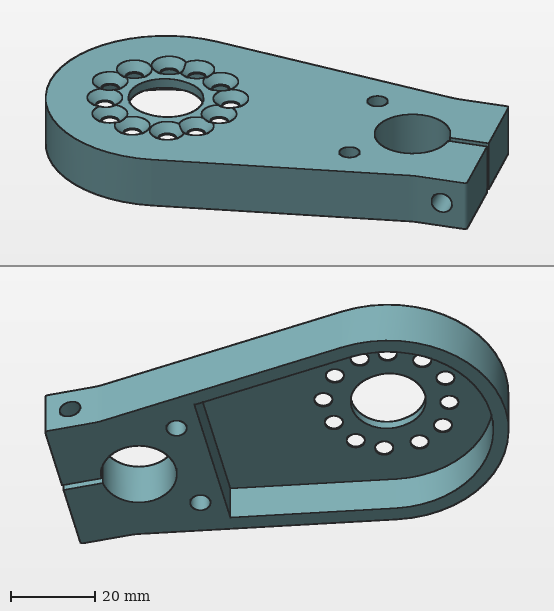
import cadquery as cq
import math

ARM_ANGLE = 13.5
THICKNESS = 12.8

HEAD_RADIUS = 28.6
CLAMP_WIDTH = 36.8
CLAMP_START = 66.3
ARM_END = 79.4
NECK_FILLET = 12.1
CORNER_FILLET = 0.7

FLOOR = 2.4
WALL = 3.6
POCKET_END = 42.9

CLAMP_BORE_X = 60.8
CLAMP_BORE_DIAMETER = 18.0
SLIT_WIDTH = 1.5
SCREW_X = 73.2
SCREW_DIAMETER = 5.1
PIN_X = 48.7
PIN_SPACING = 24.4
PIN_DIAMETER = 4.8

BORE_LENGTH = 17.9
BORE_WIDTH = 17.2
RING_HOLE_DIAMETER = 4.3
COUNTERSINK_DIAMETER = 8.4
COUNTERSINK_ANGLE = 90
RING_HOLES = [
    (14.6, -1.3),
    (15.4, 28.2),
    (15.0, 59.1),
    (15.0, 90.0),
    (15.0, 116.4),
    (15.2, 149.0),
    (15.4, 178.8),
    (14.5, 208.8),
    (15.2, 238.0),
    (15.1, 267.3),
    (15.1, 300.5),
    (14.8, 328.1),
]


def tangent_angle(radius, end_x, end_half_width):
    """Direction, from the arc centre, of the point where the upper tangent side begins."""
    reach = math.hypot(end_x, end_half_width)
    return math.atan2(end_half_width, end_x) + math.acos(radius / reach)


def teardrop(radius, end_x, end_half_width):
    """Closed outline: arc about the origin with tangent sides running to a straight end."""
    tangent = tangent_angle(radius, end_x, end_half_width)
    tangent_x = radius * math.cos(tangent)
    tangent_y = radius * math.sin(tangent)
    return (
        cq.Workplane("XY")
        .moveTo(end_x, -end_half_width)
        .lineTo(end_x, end_half_width)
        .lineTo(tangent_x, tangent_y)
        .threePointArc((-radius, 0), (tangent_x, -tangent_y))
        .close()
    )


def make_blank():
    """Arm with its clamp block, blended necks and slightly rounded outer corners."""
    arm = teardrop(HEAD_RADIUS, CLAMP_START, CLAMP_WIDTH / 2).extrude(THICKNESS)
    block = cq.Workplane("XY").box(
        ARM_END - CLAMP_START, CLAMP_WIDTH, THICKNESS, centered=(False, True, False)
    )
    blank = arm.union(block.translate((CLAMP_START, 0, 0)))
    for corner_x, radius in ((CLAMP_START, NECK_FILLET), (ARM_END, CORNER_FILLET)):
        for side in (-1, 1):
            corner = (corner_x, side * CLAMP_WIDTH / 2, THICKNESS / 2)
            blank = blank.edges("|Z").edges(cq.NearestToPointSelector(corner)).fillet(radius)
    return blank


def make_pocket():
    """Underside recess whose sides stay one wall thickness inside the tapered arm."""
    tangent = tangent_angle(HEAD_RADIUS, CLAMP_START, CLAMP_WIDTH / 2)
    radius = HEAD_RADIUS - WALL
    end_half_width = (radius - POCKET_END * math.cos(tangent)) / math.sin(tangent)
    return teardrop(radius, POCKET_END, end_half_width).extrude(THICKNESS - FLOOR)


def cut_clamp(body):
    """Shaft bore, slit, cross screw hole and the pair of pin holes."""
    bore = (
        cq.Workplane("XY")
        .center(CLAMP_BORE_X, 0)
        .circle(CLAMP_BORE_DIAMETER / 2)
        .extrude(THICKNESS)
    )
    slit = cq.Workplane("XY").box(
        ARM_END - CLAMP_BORE_X, SLIT_WIDTH, THICKNESS, centered=(False, True, False)
    )
    screw = (
        cq.Workplane("XZ")
        .center(SCREW_X, THICKNESS / 2)
        .circle(SCREW_DIAMETER / 2)
        .extrude(CLAMP_WIDTH, both=True)
    )
    pins = (
        cq.Workplane("XY")
        .pushPoints([(PIN_X, -PIN_SPACING / 2), (PIN_X, PIN_SPACING / 2)])
        .circle(PIN_DIAMETER / 2)
        .extrude(THICKNESS)
    )
    return body.cut(bore).cut(slit.translate((CLAMP_BORE_X, 0, 0))).cut(screw).cut(pins)


def drill_head(body):
    """Slightly elongated central opening and the surrounding countersunk holes."""
    opening = cq.Workplane("XY").slot2D(BORE_LENGTH, BORE_WIDTH).extrude(THICKNESS)
    centres = [
        (r * math.cos(math.radians(a)), r * math.sin(math.radians(a))) for r, a in RING_HOLES
    ]
    return (
        body.cut(opening)
        .copyWorkplane(cq.Workplane("XY", origin=(0, 0, THICKNESS)))
        .pushPoints(centres)
        .cskHole(RING_HOLE_DIAMETER, COUNTERSINK_DIAMETER, COUNTERSINK_ANGLE)
    )


arm_body = cut_clamp(make_blank().cut(make_pocket()))
arm_body = arm_body.rotate((0, 0, 0), (0, 0, 1), ARM_ANGLE)
result = drill_head(arm_body)